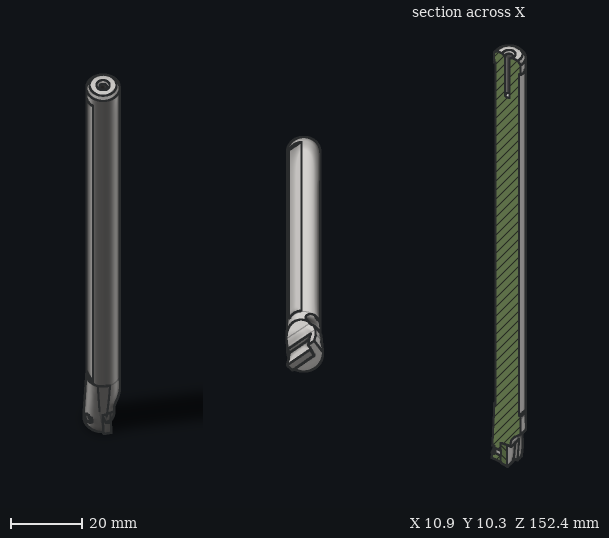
import cadquery as cq
import math

TOTAL_HEIGHT = 152.4
SHANK_RADIUS = 4.7
SHANK_BOTTOM_Z = 20.4
TOP_CHAMFER_HEIGHT = 1.2
TOP_CHAMFER_WIDTH = 0.9
FLAT_SPACING = 8.4
FLAT_BOTTOM_Z = 21.3
FLAT_TOP_Z = TOTAL_HEIGHT - 4.9

COUNTERSINK_RADIUS = 1.8
BORE_RADIUS = 1.0
BORE_DEPTH = 15.2
DRILL_POINT_ANGLE = 118.0

HEAD_RADIUS = 5.3
HEAD_OFFSET_Y = -0.3
COLLAR_OVERLAP = 0.2
FACE_Y = 1.2
RAMP_TOP_Z = 14.6
RAMP_FILLET = 4.5
END_FACE_RIGHT_Z = 0.5
END_FACE_ANGLE = 5.0
HEEL_TOP_Z = 6.7
HEEL_ANGLE = 9.0

DIMPLE_RADIUS = 5.3
DIMPLE_CENTER_X = -7.2
DIMPLE_CENTER_Z = 15.8

RELIEF_POINT = (SHANK_RADIUS, 0, SHANK_BOTTOM_Z)
RELIEF_NORMAL = (2.4, -0.95, 0.14)

INSERT_TIP_X = 5.8
INSERT_CORNER_ANGLE = 80.0
INSERT_DIAGONAL_ANGLE = 43.0
INSERT_INSCRIBED_RADIUS = 4.0
INSERT_THICKNESS = 2.3
INSERT_CLEARANCE_ANGLE = 7.0
SCREW_HOLE_RADIUS = 0.99
SCREW_COUNTERBORE_RADIUS = 1.45
SCREW_COUNTERBORE_Y = -4.5

CLEAR = 30.5

insert_half_diagonal = INSERT_INSCRIBED_RADIUS / math.sin(math.radians(INSERT_CORNER_ANGLE / 2))
diagonal_x = math.cos(math.radians(INSERT_DIAGONAL_ANGLE))
diagonal_z = math.sin(math.radians(INSERT_DIAGONAL_ANGLE))
insert_center = (INSERT_TIP_X - insert_half_diagonal * diagonal_x, 0, insert_half_diagonal * diagonal_z)

insert_plane = cq.Plane(origin=insert_center, xDir=(diagonal_x, 0, -diagonal_z), normal=(0, -1, 0))


def make_shank():
    profile = [
        (0, SHANK_BOTTOM_Z),
        (-SHANK_RADIUS, SHANK_BOTTOM_Z),
        (-SHANK_RADIUS, TOTAL_HEIGHT - TOP_CHAMFER_HEIGHT),
        (TOP_CHAMFER_WIDTH - SHANK_RADIUS, TOTAL_HEIGHT),
        (0, TOTAL_HEIGHT),
    ]
    shank = cq.Workplane("XZ").polyline(profile).close().revolve(360, (0, 0), (0, 1))
    for side in (-1, 1):
        shank = shank.cut(make_flat_cutter(side))
    return shank


def make_flat_cutter(side):
    """A block that removes one flat; side is -1 for -Y and +1 for +Y."""
    flat_length = FLAT_TOP_Z - FLAT_BOTTOM_Z
    middle = (0, side * (FLAT_SPACING + CLEAR) / 2, FLAT_BOTTOM_Z + flat_length / 2)
    return cq.Workplane("XY").box(CLEAR, CLEAR, flat_length).translate(middle)


def make_head():
    """A cone that leans so that it widens mostly towards -Y."""
    foot = cq.Vector(0, HEAD_OFFSET_Y, 0)
    axis = cq.Vector(0, 0, SHANK_BOTTOM_Z) - foot
    cone = cq.Solid.makeCone(HEAD_RADIUS, SHANK_RADIUS, axis.Length, foot, axis)
    collar = cq.Workplane("XY").workplane(offset=SHANK_BOTTOM_Z).circle(SHANK_RADIUS).extrude(-COLLAR_OVERLAP)
    return cq.Workplane(cone).cut(make_half_space((0, 0, SHANK_BOTTOM_Z), (0, 0, 1))).union(collar)


def make_bore():
    """A countersunk blind bore with a drill-point bottom, as a turned profile around Z."""
    countersink_depth = COUNTERSINK_RADIUS - BORE_RADIUS
    point_depth = BORE_RADIUS / math.tan(math.radians(DRILL_POINT_ANGLE / 2))
    profile = [
        (0, TOTAL_HEIGHT),
        (COUNTERSINK_RADIUS, TOTAL_HEIGHT),
        (BORE_RADIUS, TOTAL_HEIGHT - countersink_depth),
        (BORE_RADIUS, TOTAL_HEIGHT - BORE_DEPTH),
        (0, TOTAL_HEIGHT - BORE_DEPTH - point_depth),
    ]
    return cq.Workplane("XZ").polyline(profile).close().revolve(360, (0, 0), (0, 1))


def make_face_cutter():
    """Clears the +Y half of the head, up to a 45 degree ramp blended into the flat face."""
    ramp_start_z = RAMP_TOP_Z - (SHANK_RADIUS - FACE_Y)
    profile = [
        (FACE_Y, -CLEAR),
        (FACE_Y, ramp_start_z),
        (FACE_Y + CLEAR, ramp_start_z + CLEAR),
        (FACE_Y + CLEAR, -CLEAR),
    ]
    cutter = cq.Workplane("YZ").polyline(profile).close().extrude(CLEAR, both=True)
    blend_edge = cq.selectors.NearestToPointSelector((0, FACE_Y, ramp_start_z))
    return cutter.edges(blend_edge).fillet(RAMP_FILLET)


def make_half_space(point, normal):
    """A large block that starts at a point and fills the side its normal points to."""
    plane = cq.Plane(origin=point, normal=normal)
    return cq.Workplane(plane).rect(2 * CLEAR, 2 * CLEAR).extrude(CLEAR)


def make_end_face_cutter():
    angle = math.radians(END_FACE_ANGLE)
    return make_half_space((HEAD_RADIUS, 0, END_FACE_RIGHT_Z), (-math.sin(angle), 0, -math.cos(angle)))


def make_heel_cutter():
    angle = math.radians(HEEL_ANGLE)
    return make_half_space((-HEAD_RADIUS, 0, HEEL_TOP_Z), (-math.cos(angle), 0, -math.sin(angle)))


def make_dimple():
    return cq.Workplane("XY").sphere(DIMPLE_RADIUS).translate((DIMPLE_CENTER_X, 0, DIMPLE_CENTER_Z))


def insert_outline():
    """The rhombus in the plane Y = 0, its long diagonal rising towards -X from the tip."""
    short_half_diagonal = insert_half_diagonal * math.tan(math.radians(INSERT_CORNER_ANGLE / 2))
    corners = [
        (insert_half_diagonal, 0),
        (0, short_half_diagonal),
        (-insert_half_diagonal, 0),
        (0, -short_half_diagonal),
    ]
    return cq.Workplane(insert_plane).polyline(corners).close()


def make_insert():
    return insert_outline().extrude(INSERT_THICKNESS, taper=INSERT_CLEARANCE_ANGLE)


def make_screw_hole():
    """A hole on the insert's axis, from the rake plane out to -Y, with a shallow counterbore."""
    hole = cq.Workplane(insert_plane).circle(SCREW_HOLE_RADIUS).extrude(CLEAR)
    counterbore = cq.Workplane(insert_plane).workplane(offset=-SCREW_COUNTERBORE_Y)
    return hole.union(counterbore.circle(SCREW_COUNTERBORE_RADIUS).extrude(CLEAR))


def make_bar(insert):
    head = make_head()
    head = head.cut(make_dimple())
    head = head.cut(make_face_cutter())
    head = head.cut(make_end_face_cutter())
    head = head.cut(make_heel_cutter())
    head = head.cut(make_half_space(RELIEF_POINT, RELIEF_NORMAL))
    head = head.cut(make_screw_hole())
    head = head.cut(insert).cut(insert_outline().extrude(-CLEAR))
    return make_shank().cut(make_bore()).union(head)


cutting_insert = make_insert()
bar = make_bar(cutting_insert)

result = cq.Compound.makeCompound([bar.val(), cutting_insert.val()])